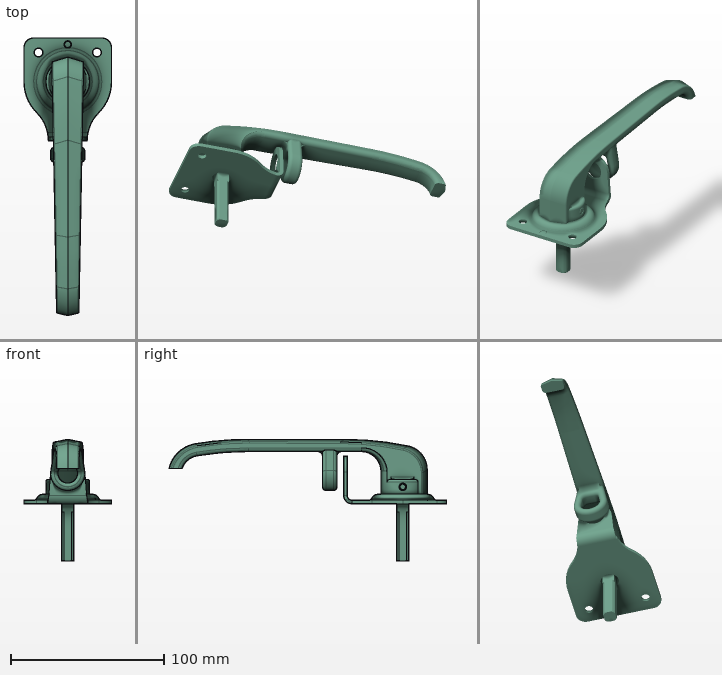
import cadquery as cq
import math


plate_half_width = 57.15 / 2
plate_thickness = 2.38
plate_corner_radius = 6.35
neck_radius = 25.4
screw_hole_diameter = 5.56
screw_hole_offset = 19.05
spindle_clearance_diameter = 12.0

dome_base_radius = 22.2
dome_top_radius = 16.0
dome_height = 3.95
dome_flare_share = 0.31

tab_outer_y = -38.55
bend_inner_radius = 3.18
bend_outer_radius = bend_inner_radius + plate_thickness
tab_half_width = 12.3
tab_foot_flare = 1.0
lock_hole_diameter = 12.7
lock_outer_radius = 22.35 / 2
lock_axis_z = 19.9

eye_y = -47.6
eye_thickness = 9.5
eye_taper = math.radians(9)
eye_edge_radius = 2.4
eye_slot_top = 28.0
eye_root_radius = 3.0

hub_radius = 14.29
hub_bottom = plate_thickness + dome_height
hub_shoulder = 16.0
hub_edge_radius = 1.59

ridge_z = 42.07
ridge_radius = 203.2
neck_ridge_start_y = -38.0
neck_ridge_end_y = 3.3
back_y = 16.0
tip_ridge_start_y = -101.3
tip_ridge_end_y = -135.0
tip_y = -152.4
tip_z = 23.0
roof_slope = 0.2
back_slope = 0.3
tip_slope = 0.18
roof_edge_radius = 1.0

side_half_width = 10.15
side_taper = 0.0188

arm_underside_z = 34.05
throat_radius = 12.7
arm_edge_radius = 2.4
underside_tip_start_y = -100.6
underside_tip_end_y = -134.0
underside_tip_y = -143.8

spindle_side = 7.94
spindle_turned_radius = 4.74
spindle_shoulder_z = -5.2
spindle_length_below = 79.4 - ridge_z
spindle_top = 20.0
spindle_end_chamfer = 0.5

pin_diameter = 4.78
pin_z = 11.1
pin_chamfer = 0.6

plug_diameter = 4.83
plug_y = 24.3
plug_chamfer = 0.4

big = 200.0
margin = 2.0
side_edge_limit = 6.0


def arc_mid(start, end, radius):
    """Middle point of the arc from start to end that bulges to the right of travel."""
    dx = end[0] - start[0]
    dy = end[1] - start[1]
    chord = math.hypot(dx, dy)
    rise = radius - math.sqrt(radius**2 - (chord / 2) ** 2)
    return (
        (start[0] + end[0]) / 2 + rise * dy / chord,
        (start[1] + end[1]) / 2 - rise * dx / chord,
    )


def block(x_range, y_range, z_range):
    """Box between the given limits."""
    sizes = [hi - lo for lo, hi in (x_range, y_range, z_range)]
    return cq.Workplane().box(*sizes, centered=False).translate((x_range[0], y_range[0], z_range[0]))


def plate_outline():
    """Plan of the plate: square back, round waist and concave necks down to the tab."""
    diagonal = math.sqrt(0.5)
    waist = plate_half_width * diagonal
    neck_center = (plate_half_width + neck_radius) * diagonal
    neck_x = neck_center - neck_radius
    waist_angle = math.radians(22.5)
    waist_mid = (plate_half_width * math.cos(waist_angle), -plate_half_width * math.sin(waist_angle))
    neck_mid = (
        neck_center - neck_radius * math.cos(waist_angle),
        -neck_center + neck_radius * math.sin(waist_angle),
    )
    return (
        cq.Workplane()
        .moveTo(-plate_half_width, plate_half_width)
        .lineTo(plate_half_width, plate_half_width)
        .lineTo(plate_half_width, 0)
        .threePointArc(waist_mid, (waist, -waist))
        .threePointArc(neck_mid, (neck_x, -neck_center))
        .lineTo(neck_x, tab_outer_y)
        .lineTo(-neck_x, tab_outer_y)
        .lineTo(-neck_x, -neck_center)
        .threePointArc((-neck_mid[0], neck_mid[1]), (-waist, -waist))
        .threePointArc((-waist_mid[0], waist_mid[1]), (-plate_half_width, 0))
        .close()
        .extrude(big)
        .edges("|Z and >Y")
        .fillet(plate_corner_radius)
    )


def bent_sheet():
    """Flat sheet with the tab bent up at its front end."""
    tab_inner_y = tab_outer_y + plate_thickness
    sheet = (
        cq.Workplane("YZ")
        .moveTo(plate_half_width, 0)
        .lineTo(tab_outer_y, 0)
        .lineTo(tab_outer_y, big)
        .lineTo(tab_inner_y, big)
        .lineTo(tab_inner_y, plate_thickness)
        .lineTo(plate_half_width, plate_thickness)
        .close()
        .extrude(plate_half_width, both=True)
    )
    corner = cq.selectors.BoxSelector
    sheet = sheet.edges(
        corner((-1, tab_outer_y - 1, -1), (1, tab_outer_y + 1, 1))
    ).fillet(bend_outer_radius)
    return sheet.edges(
        corner((-1, tab_inner_y - 1, plate_thickness - 1), (1, tab_inner_y + 1, plate_thickness + 1))
    ).fillet(bend_inner_radius)


def tab_front():
    """Front shape of the tab: flared foot, tapered sides and a round top about the lock hole."""
    taper = math.atan2(tab_half_width - lock_outer_radius, lock_axis_z - bend_outer_radius)
    side_x = lock_outer_radius * math.cos(taper)
    side_z = lock_axis_z + lock_outer_radius * math.sin(taper)
    foot_x = tab_half_width + tab_foot_flare
    return (
        cq.Workplane("XZ", origin=(0, tab_outer_y + bend_outer_radius, 0))
        .moveTo(-foot_x, 0)
        .lineTo(foot_x, 0)
        .lineTo(tab_half_width, bend_outer_radius)
        .lineTo(side_x, side_z)
        .threePointArc((0, lock_axis_z + lock_outer_radius), (-side_x, side_z))
        .lineTo(-tab_half_width, bend_outer_radius)
        .close()
        .extrude(big)
    )


def dome():
    """Raised seat: a concave flare at its foot runs into a convex shoulder and a flat top."""
    run = dome_base_radius - dome_top_radius
    flare_angle = 2 * math.atan2(dome_height, run)
    radius_sum = run / math.sin(flare_angle)
    flare_radius = radius_sum * dome_flare_share
    shoulder_radius = radius_sum - flare_radius
    half = flare_angle / 2
    flare_end = (
        dome_base_radius - flare_radius * math.sin(flare_angle),
        plate_thickness + flare_radius * (1 - math.cos(flare_angle)),
    )
    flare_mid = (
        dome_base_radius - flare_radius * math.sin(half),
        plate_thickness + flare_radius * (1 - math.cos(half)),
    )
    shoulder_mid = (
        dome_top_radius + shoulder_radius * math.sin(half),
        hub_bottom - shoulder_radius * (1 - math.cos(half)),
    )
    return (
        cq.Workplane("XZ")
        .moveTo(0, 0)
        .lineTo(dome_base_radius, 0)
        .lineTo(dome_base_radius, plate_thickness)
        .threePointArc(flare_mid, flare_end)
        .threePointArc(shoulder_mid, (dome_top_radius, hub_bottom))
        .lineTo(0, hub_bottom)
        .close()
        .revolve(360, (0, 0, 0), (0, 1, 0))
    )


def make_plate():
    """Plate with its dome, bent tab and holes."""
    sheet = bent_sheet().intersect(plate_outline())
    bend_start = tab_outer_y + bend_outer_radius
    flat = sheet.intersect(block((-big, big), (bend_start, big), (-1, big)))
    tab = sheet.intersect(tab_front())
    lock_hole = (
        cq.Workplane("XZ", origin=(0, bend_start, lock_axis_z)).circle(lock_hole_diameter / 2).extrude(big)
    )
    screw_holes = (
        cq.Workplane()
        .pushPoints([(-screw_hole_offset, screw_hole_offset), (screw_hole_offset, screw_hole_offset)])
        .circle(screw_hole_diameter / 2)
        .extrude(plate_thickness)
    )
    spindle_hole = cq.Workplane().circle(spindle_clearance_diameter / 2).extrude(hub_bottom)
    return flat.union(tab.cut(lock_hole)).union(dome()).cut(screw_holes).cut(spindle_hole).cut(plug_hole())


def plug_hole():
    """Straight hole for the plug, clipping the foot of the dome flare."""
    return cq.Workplane().center(0, plug_y).circle(plug_diameter / 2).extrude(hub_bottom)


def make_plug():
    """Plug set flush in the plate behind the dome, its top edge chamfered."""
    return (
        cq.Workplane()
        .center(0, plug_y)
        .circle(plug_diameter / 2)
        .extrude(plate_thickness)
        .faces(">Z")
        .chamfer(plug_chamfer)
    )


def oblique_halves(profile, direction):
    """Side profile drawn in the plane X = 0 and swept both ways along slanting lines."""
    wire = profile.val()
    right = cq.Workplane(cq.Solid.extrudeLinear(wire, [], cq.Vector(*direction)))
    return right.union(right.mirror("YZ"))


def nose_curve(profile, start_y, level, end_y, end_tip_y):
    """Continues a profile along its level, down a gentle droop, then round a tighter arc to the tip face."""
    run = start_y - end_y
    drop = ridge_radius - math.sqrt(ridge_radius**2 - run**2)
    angle = math.asin(run / ridge_radius)
    droop_start = (start_y, level)
    nose_start = (end_y, level - drop)
    nose_end = (end_tip_y, tip_z)
    nose_run = end_y - end_tip_y
    nose_drop = nose_start[1] - tip_z
    nose_radius = (nose_run**2 + nose_drop**2) / (
        2 * (nose_drop * math.cos(angle) - nose_run * math.sin(angle))
    )
    return (
        profile
        .lineTo(*droop_start)
        .threePointArc(arc_mid(droop_start, nose_start, ridge_radius), nose_start)
        .threePointArc(arc_mid(nose_start, nose_end, nose_radius), nose_end)
    )


def roofed_blank():
    """Handle seen from above: ridged roof, wedge-shaped back and nose, filled down to Z = 0."""
    reach = side_half_width + margin
    joint_y = (neck_ridge_start_y + tip_ridge_start_y) / 2

    neck_run = neck_ridge_end_y - neck_ridge_start_y
    neck_drop = ridge_radius - math.sqrt(ridge_radius**2 - neck_run**2)
    neck_angle = math.asin(neck_run / ridge_radius)
    neck_end = (neck_ridge_end_y, ridge_z - neck_drop)
    back_radius = (back_y - neck_ridge_end_y) / (1 - math.sin(neck_angle))
    back_top = (back_y, neck_end[1] - back_radius * math.cos(neck_angle))
    neck_top = (neck_ridge_start_y, ridge_z)
    rear = (
        cq.Workplane("YZ")
        .moveTo(joint_y, 0)
        .lineTo(back_y, 0)
        .lineTo(*back_top)
        .threePointArc(arc_mid(back_top, neck_end, back_radius), neck_end)
        .threePointArc(arc_mid(neck_end, neck_top, ridge_radius), neck_top)
        .lineTo(joint_y, ridge_z)
        .close()
    )

    front_joint_y = joint_y + 2 * reach * back_slope
    front = (
        cq.Workplane("YZ")
        .moveTo(front_joint_y, 0)
        .lineTo(front_joint_y, ridge_z)
    )
    front = nose_curve(front, tip_ridge_start_y, ridge_z, tip_ridge_end_y, tip_y).lineTo(tip_y, 0).close()

    rear_solid = oblique_halves(rear, (reach, -reach * back_slope, -reach * roof_slope))
    front_solid = oblique_halves(front, (reach, reach * tip_slope, -reach * roof_slope))
    return rear_solid.union(front_solid).clean()


def half_width(y):
    """Half width of the handle between its side planes."""
    return side_half_width + side_taper * y


def handle_plan():
    """Tapered plan between the side planes of the handle."""
    rear = 2 * back_y
    front = tip_y - back_y
    return (
        cq.Workplane()
        .polyline([
            (half_width(rear), rear),
            (-half_width(rear), rear),
            (-half_width(front), front),
            (half_width(front), front),
        ])
        .close()
        .extrude(big)
    )


throat_center = (-hub_radius - throat_radius, arm_underside_z - throat_radius)


def above_underside():
    """Everything behind the hub front, above the arm underside and inside the nose."""
    throat_top = (throat_center[0], arm_underside_z)
    throat_foot = (-hub_radius, throat_center[1])
    profile = (
        cq.Workplane("YZ")
        .moveTo(back_y + margin, hub_bottom)
        .lineTo(-hub_radius, hub_bottom)
        .lineTo(*throat_foot)
        .threePointArc(arc_mid(throat_foot, throat_top, throat_radius), throat_top)
    )
    profile = nose_curve(
        profile, underside_tip_start_y, arm_underside_z, underside_tip_end_y, underside_tip_y
    )
    return (
        profile
        .lineTo(tip_y - margin, tip_z)
        .lineTo(tip_y - margin, ridge_z + margin)
        .lineTo(back_y + margin, ridge_z + margin)
        .close()
        .extrude(big, both=True)
    )


def trimmed_bar():
    """Roofed bar between the side planes, its upper edges rounded, cut to the underside."""
    bar = roofed_blank().intersect(handle_plan())
    upper_edges = [
        edge for edge in bar.edges().vals()
        if abs(edge.Center().x) > side_edge_limit and edge.Center().z > 0
    ]
    return bar.newObject(upper_edges).fillet(roof_edge_radius).intersect(above_underside())


def throat_cutters():
    """Space in front of the hub and throat, round like the hub below and edge-rounded like the arm above."""
    outer_x = side_half_width + margin
    edge_x = half_width(throat_center[0])
    flat_x = edge_x - arm_edge_radius
    clear = -2 * margin

    def hub_rise(x):
        return hub_radius - math.sqrt(hub_radius**2 - x**2)

    def section(plane, rises, mid_x, mid_rise, middle_rise):
        outer_rise, edge_rise, flat_rise = rises
        return (
            cq.Workplane(plane)
            .moveTo(-outer_x, clear)
            .lineTo(-outer_x, outer_rise)
            .lineTo(-edge_x, edge_rise)
            .threePointArc((-mid_x, mid_rise), (-flat_x, flat_rise))
            .threePointArc((0, middle_rise), (flat_x, flat_rise))
            .threePointArc((mid_x, mid_rise), (edge_x, edge_rise))
            .lineTo(outer_x, outer_rise)
            .lineTo(outer_x, clear)
            .close()
        )

    hub_mid_x = (edge_x + flat_x) / 2
    hub_rises = [hub_rise(x) for x in (outer_x, edge_x, flat_x)]
    hub_plane = cq.Plane((0, -hub_radius, throat_center[1]), (1, 0, 0), (0, 0, 1))
    arm_plane = cq.Plane((0, throat_center[0], arm_underside_z), (1, 0, 0), (0, -1, 0))
    round_step = arm_edge_radius * math.sqrt(0.5)
    nearly_flat = -0.001
    arm_rises = (arm_edge_radius, arm_edge_radius, 0)
    hub_section = section(hub_plane, hub_rises, hub_mid_x, hub_rise(hub_mid_x), 0)
    arm_section = section(
        arm_plane, arm_rises, flat_x + round_step, arm_edge_radius - round_step, nearly_flat
    )
    path_start = (-hub_radius, throat_center[1])
    path_end = (throat_center[0], arm_underside_z)
    path = (
        cq.Workplane("YZ")
        .moveTo(*path_start)
        .threePointArc(arc_mid(path_start, path_end, throat_radius), path_end)
    )
    sections = [hub_section.val(), arm_section.val()]
    bend = cq.Workplane(cq.Solid.sweep_multi(sections, path.val(), True, True))
    front_block = block((-outer_x, outer_x), (-hub_radius + clear, -hub_radius / 2), (0, throat_center[1]))
    lower = front_block.cut(cq.Workplane().circle(hub_radius).extrude(throat_center[1]))
    return bend, lower


def eye():
    """Padlock eye hanging below the arm: tapered legs and a round foot, with rounded rims."""
    side_x = lock_outer_radius * math.cos(eye_taper)
    side_z = lock_axis_z + lock_outer_radius * math.sin(eye_taper)
    root_z = arm_underside_z + arm_edge_radius
    root_x = side_x - (root_z - side_z) * math.tan(eye_taper)
    hole_radius = lock_hole_diameter / 2
    hole_x = hole_radius * math.cos(eye_taper)
    hole_z = lock_axis_z + hole_radius * math.sin(eye_taper)
    slot_x = hole_x - (eye_slot_top - hole_z) * math.tan(eye_taper)
    front = cq.Workplane("XZ", origin=(0, eye_y, 0))
    outline = (
        front
        .moveTo(-root_x, root_z)
        .lineTo(-side_x, side_z)
        .threePointArc((0, lock_axis_z - lock_outer_radius), (side_x, side_z))
        .lineTo(root_x, root_z)
        .close()
        .extrude(eye_thickness / 2, both=True)
    )
    opening = (
        front
        .moveTo(-slot_x, eye_slot_top)
        .lineTo(-hole_x, hole_z)
        .threePointArc((0, lock_axis_z - hole_radius), (hole_x, hole_z))
        .lineTo(slot_x, eye_slot_top)
        .close()
        .extrude(eye_thickness / 2, both=True)
        .edges("|Y and >Z")
        .fillet(eye_edge_radius)
    )
    return outline.cut(opening).faces("<Y or >Y").edges("not >Z").fillet(eye_edge_radius)


def eye_roots():
    """Concave flares where the front and back of the eye run into the flat of the arm underside."""
    half_thickness = eye_thickness / 2
    half_root = half_thickness + eye_root_radius
    flare_z = arm_underside_z - eye_root_radius
    root_z = arm_underside_z + arm_edge_radius
    return (
        cq.Workplane("YZ", origin=(0, eye_y, 0))
        .moveTo(half_thickness, flare_z)
        .radiusArc((half_root, arm_underside_z), eye_root_radius)
        .lineTo(half_root, root_z)
        .lineTo(-half_root, root_z)
        .lineTo(-half_root, arm_underside_z)
        .radiusArc((-half_thickness, flare_z), eye_root_radius)
        .close()
        .extrude(half_width(eye_y) - arm_edge_radius, both=True)
    )


def shoulder_cove():
    """Concave strip between the hub shoulder and the right side plane."""
    foot = side_half_width - hub_edge_radius
    strip = (
        cq.Workplane("XZ")
        .moveTo(foot, hub_shoulder)
        .lineTo(side_half_width + hub_edge_radius, hub_shoulder)
        .radiusArc((side_half_width, hub_shoulder + hub_edge_radius), hub_edge_radius)
        .lineTo(foot, hub_shoulder + hub_edge_radius)
        .close()
        .extrude(hub_radius, both=True)
        .rotate((side_half_width, 0, 0), (side_half_width, 0, 1), -math.degrees(math.atan(side_taper)))
    )
    crown = cq.Workplane().circle(hub_radius - hub_edge_radius).extrude(big)
    return strip.intersect(crown)


def make_neck(bar):
    """Rear of the handle: the round hub with its flat-sided neck."""
    neck = bar.intersect(block((-big, big), (throat_center[0], big), (-1, big)))
    for cutter in throat_cutters():
        neck = neck.cut(cutter)
    hub = (
        cq.Workplane()
        .workplane(offset=hub_bottom)
        .circle(hub_radius)
        .extrude(hub_shoulder - hub_bottom)
        .faces(">Z")
        .edges()
        .fillet(hub_edge_radius)
    )
    cove = shoulder_cove()
    return neck.union(hub).union(cove).union(cove.mirror("YZ"))


def make_arm(bar):
    """Front of the handle: the arm with its underside edges rounded."""
    arm = bar.intersect(block((-big, big), (-big, throat_center[0]), (-1, big)))
    lower_edges = {}
    facing_down = -0.3
    above_tip_face = tip_z + 0.1
    for face in arm.faces().vals():
        if face.normalAt().z < facing_down and face.Center().z > above_tip_face:
            for edge in face.Edges():
                if abs(edge.Center().x) > side_edge_limit:
                    lower_edges[edge.hashCode()] = edge
    return arm.newObject(list(lower_edges.values())).fillet(arm_edge_radius)


def make_handle():
    """Handle with its eye, bored for the spindle and the cross pin."""
    bar = trimmed_bar()
    body = make_neck(bar).union(make_arm(bar)).union(eye()).union(eye_roots())
    return body.cut(make_spindle()).cut(pin_bore())


def make_spindle():
    """Square shaft fixed in the hub, its corners turned down below the shoulder."""
    square = (
        cq.Workplane()
        .workplane(offset=-spindle_length_below)
        .rect(spindle_side, spindle_side)
        .extrude(spindle_length_below + spindle_top)
    )
    turned = (
        cq.Workplane()
        .workplane(offset=-spindle_length_below)
        .circle(spindle_turned_radius)
        .extrude(spindle_length_below + spindle_shoulder_z)
        .faces("<Z")
        .chamfer(spindle_end_chamfer)
    )
    full = cq.Workplane().workplane(offset=spindle_shoulder_z).circle(spindle_side).extrude(big)
    return square.intersect(turned.union(full)).cut(pin_bore())


def pin_bore():
    """Straight bore for the pin, right through the hub along X."""
    return cq.Workplane("YZ", origin=(0, 0, pin_z)).circle(pin_diameter / 2).extrude(hub_radius, both=True)


def make_pin():
    """Pin through the hub and spindle, with chamfered ends."""
    return pin_bore().faces("<X or >X").chamfer(pin_chamfer)


plate = make_plate()
plug = make_plug()
handle = make_handle()
spindle = make_spindle()
pin = make_pin()

result = cq.Compound.makeCompound([plate.val(), plug.val(), handle.val(), spindle.val(), pin.val()])